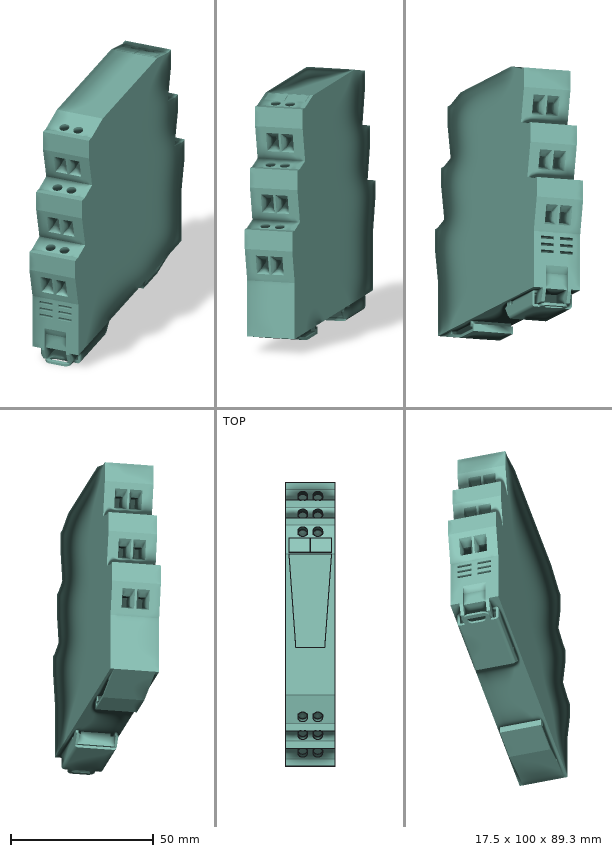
import cadquery as cq
import math


WIDTH = 17.5
LENGTH = 100.0
TOP_Z = 83.3
BODY_HALF_LENGTH = 47.1

TIERS = 3
TIER_TOP_Z = 38.9
TOP_TIER_Z = 80.6
TOP_TIER_HALF_LENGTH = 37.5
TIER_RISE = (TOP_TIER_Z - TIER_TOP_Z) / (TIERS - 1)
TIER_SETBACK = (LENGTH / 2 - TOP_TIER_HALF_LENGTH) / (TIERS - 1)
TIER_LIP = 2.6
TIER_FACE = 7.0
TAPER_DROP = 11.8
TAPER_INSET = LENGTH / 2 - BODY_HALF_LENGTH
TAPER_ANGLE = math.atan2(TAPER_INSET, TAPER_DROP)
SLOPE_ANGLE = math.radians(15)
SLOPE_RISE = math.tan(SLOPE_ANGLE)
ROOF_HALF = TOP_TIER_HALF_LENGTH - TIER_LIP - (TOP_Z - TOP_TIER_Z) / SLOPE_RISE

TERMINAL_PITCH = 5.3
SCREW_DIAMETER = 3.5
SCREW_DEPTH = 4.0
SCREW_SETBACK = 2.3

ENTRY_WIDTH = 4.5
ENTRY_HEIGHT = 7.0
ENTRY_DROP = 5.9
FUNNEL_DEPTH = 2.7
FUNNEL_TOP_INSET = 2.5
FUNNEL_BOTTOM_INSET = 0.6
POCKET_WIDTH = 2.7
POCKET_PITCH = 5.6
POCKET_DEPTH = 6.0

VENT_WIDTH = 5.0
VENT_HEIGHT = 1.0
VENT_DEPTH = 2.0
VENT_X = 3.6
VENT_TOP_Z = 18.1
VENT_PITCH = 2.5
VENT_ROWS = 3

FOOT_BOTTOM = -4.7
CHEEK_START_Z = -0.7
CHEEK_FRONT_BOTTOM_Y = -45.6
NECK_WIDTH = 10.7
GUIDE_WIDTH = 13.0
GUIDE_TOP = -1.0
GUIDE_NOSE_Z = -1.6
GUIDE_FRONT_Y = -41.0
GUIDE_BACK_Y = -19.0

RECESS_WIDTH = 8.2
RECESS_TOP = 8.1
RECESS_WALL_TOP = 5.4
RECESS_DEPTH = 1.1
RECESS_BACK_Y = -36.0

REAR_FOOT_WIDTH = 14.9
REAR_POCKET_DEPTH = 2.0

COVER_HALF = 7.5
LABEL_BACK_Y = 24.8
LABEL_FRONT_Y = -8.1
LABEL_FRONT_HALF = 5.1
LABEL_THICKNESS = 0.5
LID_BACK_Y = 30.3
LID_FRONT_Y = 25.2
LID_GAP = 0.3
LID_DEPTH = 0.5
LID_PROUD = 0.2

SHEET = 0.9
CLIP_WIDTH = 14.9
CLIP_BOTTOM = -6.0
CLIP_BEND = 1.0
CLIP_FRONT_Y = -42.2
LIP_OPENING = 10.8
RELIEF_FRONT_Y = -23.0
RELIEF_BACK_Y = -21.0
RELIEF_BOTTOM = -1.5
CLIP_FLOOR_BACK_Y = -19.0
TONGUE_WIDTH = 9.6
TONGUE_FRONT_Y = -46.2
TONGUE_RADIUS = 2.2
TONGUE_HOLE_WIDTH = 6.6
TONGUE_HOLE_LENGTH = 2.4
TONGUE_HOLE_RADIUS = 1.5
TONGUE_BAR = 1.6


def side_plate(points, width):
    """Plate with a Y-Z outline, centred on X = 0."""
    return cq.Workplane("YZ").polyline(points).close().extrude(width / 2, both=True)


def block(width, y_range, z_range):
    """Box centred on X = 0 between two Y and two Z values."""
    y_min, y_max = y_range
    z_min, z_max = z_range
    box = cq.Workplane("XY").box(width, y_max - y_min, z_max - z_min, centered=(True, False, False))
    return box.translate((0, y_min, z_min))


def tier_size(tier):
    """Outer Y (positive side) and flat top Z of a tier."""
    return LENGTH / 2 - tier * TIER_SETBACK, TIER_TOP_Z + tier * TIER_RISE


def tier_root(tier):
    """Point where the leaning face of a tier meets the sloped top of the tier below."""
    outer, top = tier_size(tier)
    lower_outer, lower_top = tier_size(tier - 1)
    lean = math.tan(TAPER_ANGLE)
    face_bottom = top - TIER_FACE
    strip_y = lower_outer - TIER_LIP
    z = (lower_top + SLOPE_RISE * (strip_y - outer + lean * face_bottom)) / (1 + SLOPE_RISE * lean)
    return outer - lean * (face_bottom - z), z


def body():
    """Stepped body, symmetric about Y = 0."""
    half = [(BODY_HALF_LENGTH, 0), (BODY_HALF_LENGTH, TIER_TOP_Z - TIER_FACE - TAPER_DROP)]
    for tier in range(TIERS):
        outer, top = tier_size(tier)
        if tier > 0:
            half.append(tier_root(tier))
        half += [(outer, top - TIER_FACE), (outer, top), (outer - TIER_LIP, top)]
    half.append((ROOF_HALF, TOP_Z))
    mirrored = [(-y, z) for y, z in reversed(half)]
    return side_plate(half + mirrored, WIDTH)


def screw_hole(tier, x):
    outer, top = tier_size(tier)
    y = -(outer - TIER_LIP - SCREW_SETBACK)
    z = top + SCREW_SETBACK * SLOPE_RISE
    plane = cq.Plane((x, y, z), (1, 0, 0), (0, -math.sin(SLOPE_ANGLE), math.cos(SLOPE_ANGLE)))
    return cq.Workplane(plane).circle(SCREW_DIAMETER / 2).extrude(-SCREW_DEPTH)


def wire_entry(tier, side):
    outer, top = tier_size(tier)
    lean_sin = math.sin(TAPER_ANGLE)
    lean_cos = math.cos(TAPER_ANGLE)
    y = -(outer - ENTRY_DROP * lean_sin)
    z = top - TIER_FACE - ENTRY_DROP * lean_cos
    plane = cq.Plane((side * TERMINAL_PITCH / 2, y, z), (1, 0, 0), (0, -lean_cos, -lean_sin))
    pocket_x = side * (POCKET_PITCH - TERMINAL_PITCH) / 2
    pocket_y = (FUNNEL_BOTTOM_INSET - FUNNEL_TOP_INSET) / 2
    pocket_height = ENTRY_HEIGHT - FUNNEL_TOP_INSET - FUNNEL_BOTTOM_INSET
    funnel = (
        cq.Workplane(plane)
        .rect(ENTRY_WIDTH, ENTRY_HEIGHT)
        .workplane(offset=-FUNNEL_DEPTH)
        .center(pocket_x, pocket_y)
        .rect(POCKET_WIDTH, pocket_height)
        .loft(ruled=True)
    )
    pocket = (
        cq.Workplane(plane)
        .workplane(offset=-FUNNEL_DEPTH)
        .center(pocket_x, pocket_y)
        .rect(POCKET_WIDTH, pocket_height)
        .extrude(-POCKET_DEPTH)
    )
    return funnel.union(pocket)


def cut_terminals(solid):
    """Two terminals per tier at both ends of the body."""
    for tier in range(TIERS):
        for side in (-1, 1):
            for cutter in (screw_hole(tier, side * TERMINAL_PITCH / 2), wire_entry(tier, side)):
                solid = solid.cut(cutter).cut(cutter.mirror("XZ"))
    return solid


def cut_vents(solid):
    for row in range(VENT_ROWS):
        z = VENT_TOP_Z - row * VENT_PITCH
        for side in (-1, 1):
            slot = cq.Workplane("XY").box(VENT_WIDTH, 2 * VENT_DEPTH, VENT_HEIGHT)
            solid = solid.cut(slot.translate((side * VENT_X, -BODY_HALF_LENGTH, z)))
    return solid


def front_foot():
    """Sloped cheeks and neck, with a wider guide that fills the clip channel."""
    neck = side_plate(
        [
            (-BODY_HALF_LENGTH, 0),
            (-BODY_HALF_LENGTH, CHEEK_START_Z),
            (CHEEK_FRONT_BOTTOM_Y, FOOT_BOTTOM),
            (GUIDE_BACK_Y, FOOT_BOTTOM),
            (GUIDE_BACK_Y, 0),
        ],
        NECK_WIDTH,
    )
    nose_run = GUIDE_NOSE_Z - FOOT_BOTTOM
    guide = side_plate(
        [
            (GUIDE_FRONT_Y, GUIDE_TOP),
            (GUIDE_FRONT_Y, GUIDE_NOSE_Z),
            (GUIDE_FRONT_Y + nose_run, FOOT_BOTTOM),
            (GUIDE_BACK_Y, FOOT_BOTTOM),
            (GUIDE_BACK_Y, GUIDE_TOP),
        ],
        GUIDE_WIDTH,
    )
    return neck.union(guide)


def tool_recess():
    upper = side_plate(
        [
            (-BODY_HALF_LENGTH, 0),
            (-BODY_HALF_LENGTH, RECESS_TOP),
            (-BODY_HALF_LENGTH + RECESS_DEPTH, RECESS_WALL_TOP),
            (-BODY_HALF_LENGTH + RECESS_DEPTH, 0),
        ],
        RECESS_WIDTH,
    )
    lower = block(RECESS_WIDTH, (-BODY_HALF_LENGTH, RECESS_BACK_Y), (FOOT_BOTTOM, 0))
    return upper.union(lower)


def rear_foot():
    """Fixed rail hook with a recess in each side that leaves a rim along its edge."""
    foot = side_plate(
        [(BODY_HALF_LENGTH, 0), (28.1, -4.0), (15.4, -4.0), (15.4, -1.4), (17.3, -1.0), (17.3, 0)],
        REAR_FOOT_WIDTH,
    )
    recess_outline = [(37.3, 0), (37.3, -1.0), (28.1, -3.0), (16.4, -3.0), (16.4, -2.2), (18.3, -1.8), (18.3, 0)]
    recesses = side_plate(recess_outline, REAR_FOOT_WIDTH).cut(
        side_plate(recess_outline, REAR_FOOT_WIDTH - 2 * REAR_POCKET_DEPTH)
    )
    return foot.cut(recesses)


def make_label():
    """Tapered plate set flush into the roof."""
    return (
        cq.Workplane("XY", origin=(0, 0, TOP_Z))
        .polyline(
            [
                (-COVER_HALF, LABEL_BACK_Y),
                (COVER_HALF, LABEL_BACK_Y),
                (LABEL_FRONT_HALF, LABEL_FRONT_Y),
                (-LABEL_FRONT_HALF, LABEL_FRONT_Y),
            ]
        )
        .close()
        .extrude(-LABEL_THICKNESS)
    )


def make_lid(side):
    """Small cover standing slightly proud of the rear slope, trimmed level with the roof."""
    width = COVER_HALF - LID_GAP / 2

    def slope_z(y):
        return TOP_Z - (y - ROOF_HALF) * SLOPE_RISE

    lid = side_plate(
        [
            (LID_FRONT_Y, slope_z(LID_FRONT_Y) - LID_DEPTH),
            (LID_FRONT_Y, TOP_Z),
            (ROOF_HALF + LID_PROUD / SLOPE_RISE, TOP_Z),
            (LID_BACK_Y, slope_z(LID_BACK_Y) + LID_PROUD),
            (LID_BACK_Y, slope_z(LID_BACK_Y) - LID_DEPTH),
        ],
        width,
    )
    return lid.translate((side * (LID_GAP + width) / 2, 0, 0))


def make_housing(covers):
    housing = cut_vents(cut_terminals(body()))
    housing = housing.union(front_foot()).union(rear_foot()).cut(tool_recess())
    for cover in covers:
        housing = housing.cut(cover)
    return housing


def clip_channel():
    """Floor, side walls and inturned lips."""
    span = (CLIP_FRONT_Y, RELIEF_FRONT_Y)
    shell = block(CLIP_WIDTH, span, (CLIP_BOTTOM, 0)).edges("|Y").fillet(CLIP_BEND)
    inside = block(CLIP_WIDTH - 2 * SHEET, span, (CLIP_BOTTOM + SHEET, -SHEET))
    return shell.cut(inside).cut(block(LIP_OPENING, span, (-SHEET, 0)))


def clip_tray():
    """Floor and low walls beside the bend relief."""
    span = (RELIEF_FRONT_Y, CLIP_FLOOR_BACK_Y)
    shell = block(CLIP_WIDTH, span, (CLIP_BOTTOM, RELIEF_BOTTOM)).edges("|Y and <Z").fillet(CLIP_BEND)
    return shell.cut(block(CLIP_WIDTH - 2 * SHEET, span, (CLIP_BOTTOM + SHEET, RELIEF_BOTTOM)))


def clip_hooks():
    """Pointed ends of the two side walls, which grip the rail."""
    hook = [
        (RELIEF_BACK_Y, 0),
        (-17.6, 0),
        (-17.6, -1.0),
        (-15.6, -1.8),
        (-18.4, CLIP_BOTTOM + CLIP_BEND),
        (RELIEF_BACK_Y, CLIP_BOTTOM + CLIP_BEND),
    ]
    return side_plate(hook, CLIP_WIDTH).cut(side_plate(hook, CLIP_WIDTH - 2 * SHEET))


def clip_tongue():
    """Pull tab with a tool hole, in line with the clip floor."""
    floor = (CLIP_BOTTOM, CLIP_BOTTOM + SHEET)
    tab = block(TONGUE_WIDTH, (TONGUE_FRONT_Y, CLIP_FRONT_Y), floor)
    tab = tab.edges("|Z and <Y").fillet(TONGUE_RADIUS)
    hole_front = TONGUE_FRONT_Y + TONGUE_BAR
    hole = block(TONGUE_HOLE_WIDTH, (hole_front, hole_front + TONGUE_HOLE_LENGTH), floor)
    hole = hole.edges("|Z and >Y").fillet(TONGUE_HOLE_RADIUS)
    return tab.cut(hole)


def make_clip():
    return clip_channel().union(clip_tray()).union(clip_hooks()).union(clip_tongue())


label = make_label()
lids = [make_lid(side) for side in (-1, 1)]
clip = make_clip()
housing = make_housing([label, *lids])

result = cq.Compound.makeCompound([housing.val(), label.val(), *[lid.val() for lid in lids], clip.val()])